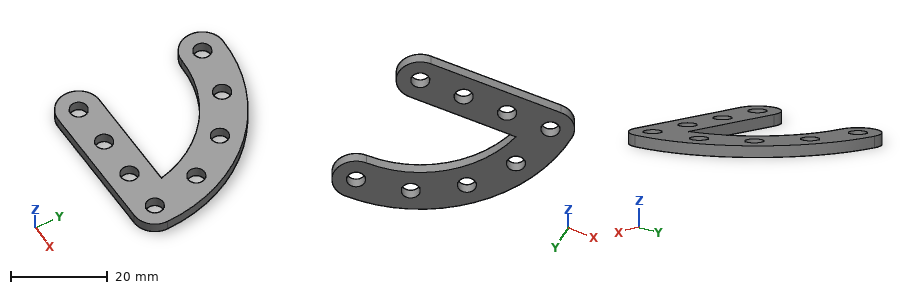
import cadquery as cq
import math

pitch = 10.0
thickness = 2.5
hole_diameter = 3.9
straight_steps = 3
arc_steps = 4

end_radius = pitch / 2
arc_radius = straight_steps * pitch
outer_radius = arc_radius + end_radius
inner_radius = arc_radius - end_radius
arc_angle = 90.0


def on_arc(radius, angle):
    """Point at the given radius and angle (degrees) around the arc centre."""
    radians = math.radians(angle)
    return (radius * math.cos(radians), radius * math.sin(radians))


straight_arm = (
    cq.Workplane("XY")
    .center(arc_radius / 2, 0)
    .slot2D(arc_radius + 2 * end_radius, 2 * end_radius)
    .extrude(thickness)
)

curved_arm = (
    cq.Workplane("XY")
    .moveTo(outer_radius, 0)
    .threePointArc(on_arc(outer_radius, arc_angle / 2), (0, outer_radius))
    .threePointArc((-end_radius, arc_radius), (0, inner_radius))
    .threePointArc(on_arc(inner_radius, arc_angle / 2), (inner_radius, 0))
    .threePointArc((arc_radius, -end_radius), (outer_radius, 0))
    .close()
    .extrude(thickness)
)

straight_holes = [(i * pitch, 0) for i in range(straight_steps + 1)]
arc_holes = [on_arc(arc_radius, i * arc_angle / arc_steps) for i in range(1, arc_steps + 1)]
holes = (
    cq.Workplane("XY")
    .pushPoints(straight_holes + arc_holes)
    .circle(hole_diameter / 2)
    .extrude(thickness)
)

result = straight_arm.union(curved_arm).cut(holes)